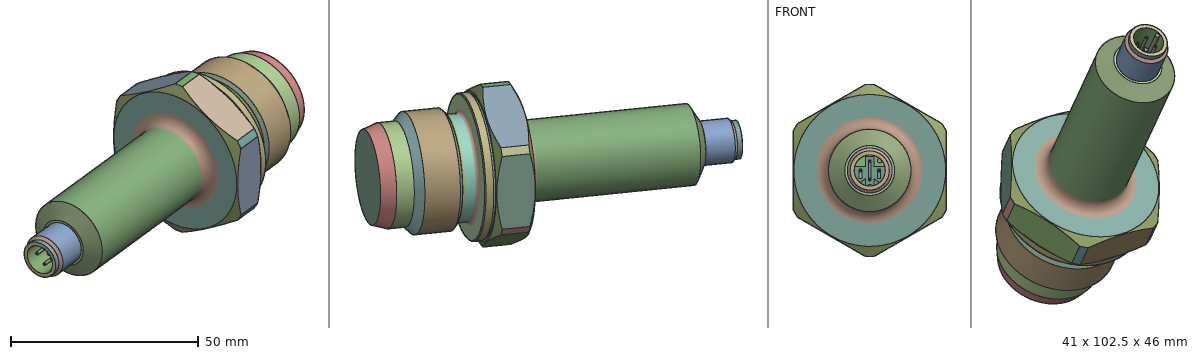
import cadquery as cq
import math

LENGTH = 102.5

TIP_DIAMETER = 10.5
TIP_END_Y = 1.4
CONNECTOR_DIAMETER = 12.0
CONNECTOR_CHAMFER_END_Y = 2.3

SLEEVE_START_Y = 10.6
SLEEVE_START_DIAMETER = 13.3
SLEEVE_CONE_END_Y = 13.2
SLEEVE_DIAMETER = 22.0
SLEEVE_FILLET = 3.1

HEX_START_Y = 61.6
HEX_END_Y = 72.5
HEX_ACROSS_FLATS = 41.0
HEX_CORNER_DIAMETER = 46.0
HEX_FACE_DIAMETER = 40.6
HEX_CHAMFER_ANGLE = 30.0

COLLAR_TAPER_END_Y = 73.1
COLLAR_END_Y = 75.5
COLLAR_DIAMETER = 40.0
COLLAR_CHAMFER = 0.3
COLLAR_TAPERED_DIAMETER = 39.4

NECK_DIAMETER = 29.2
NECK_FILLET = 1.0
THREAD_START_Y = 81.4
THREAD_DIAMETER = 33.2
THREAD_CHAMFER = 0.9
THREAD_CHAMFER_END_Y = 91.2
NOSE_DIAMETER = 28.6
NOSE_START_Y = THREAD_CHAMFER_END_Y + (THREAD_DIAMETER - NOSE_DIAMETER) / 2
NOSE_CONE_START_Y = 98.4
NOSE_END_DIAMETER = 25.8

BORE_DIAMETER = 8.3
FLOOR_Y = 9.2
PAD_HEIGHT = 1.0
CHANNEL_WIDTH = 2.3
UPPER_PAD_Z = 1.0
LOWER_PAD_Z = -2.3
LOWER_PAD_CORNER = (2.7, -3.3)
STOP_Z = 3.7
LOWER_STOP_WIDTH = 0.6
KEY_DIAMETER = 1.2
KEY_START_Y = 0.5
KEY_OFFSET = 2.7
PIN_DIAMETER = 0.8
PIN_TIP_DIAMETER = 0.4
PIN_TIP_LENGTH = 0.2
PIN_TIP_Y = 1.8
PIN_OFFSET = 2.5
LEAD_HEIGHT = 0.5
SIDE_LEAD_END_Z = -2.2


def cylinder(diameter, start_y, end_y, x=0.0, z=0.0):
    """Cylinder along +Y, centred on (x, z)."""
    return cq.Workplane("XZ", origin=(x, start_y, z)).circle(diameter / 2).extrude(start_y - end_y)


def box(x_range, y_range, z_range):
    """Box spanning the given ranges."""
    size = [high - low for low, high in (x_range, y_range, z_range)]
    corner = (x_range[0], y_range[0], z_range[0])
    return cq.Workplane("XY").box(*size, centered=False).translate(corner)


def turn(profile):
    """Turn a half profile of radius and Y around the Y axis."""
    return profile.close().revolve(360, (0, 0, 0), (0, 1, 0))


def turned_body():
    tip = TIP_DIAMETER / 2
    connector = CONNECTOR_DIAMETER / 2
    sleeve = SLEEVE_DIAMETER / 2
    collar = COLLAR_DIAMETER / 2
    tapered_collar = COLLAR_TAPERED_DIAMETER / 2
    neck = NECK_DIAMETER / 2
    thread = THREAD_DIAMETER / 2
    nose = NOSE_DIAMETER / 2
    neck_end_y = THREAD_START_Y - THREAD_CHAMFER
    return turn(
        cq.Workplane("XY")
        .lineTo(tip, 0)
        .lineTo(tip, TIP_END_Y)
        .lineTo(connector, CONNECTOR_CHAMFER_END_Y)
        .lineTo(connector, SLEEVE_START_Y)
        .lineTo(SLEEVE_START_DIAMETER / 2, SLEEVE_START_Y)
        .lineTo(sleeve, SLEEVE_CONE_END_Y)
        .lineTo(sleeve, HEX_START_Y - SLEEVE_FILLET)
        .radiusArc((sleeve + SLEEVE_FILLET, HEX_START_Y), SLEEVE_FILLET)
        .lineTo(tapered_collar, HEX_START_Y)
        .lineTo(tapered_collar, HEX_END_Y)
        .lineTo(collar, COLLAR_TAPER_END_Y)
        .lineTo(collar, COLLAR_END_Y - COLLAR_CHAMFER)
        .lineTo(collar - COLLAR_CHAMFER, COLLAR_END_Y)
        .lineTo(neck + NECK_FILLET, COLLAR_END_Y)
        .radiusArc((neck, COLLAR_END_Y + NECK_FILLET), NECK_FILLET)
        .lineTo(neck, neck_end_y - NECK_FILLET)
        .radiusArc((neck + NECK_FILLET, neck_end_y), NECK_FILLET)
        .lineTo(thread - THREAD_CHAMFER, neck_end_y)
        .lineTo(thread, THREAD_START_Y)
        .lineTo(thread, THREAD_CHAMFER_END_Y)
        .lineTo(nose, NOSE_START_Y)
        .lineTo(nose, NOSE_CONE_START_Y)
        .lineTo(NOSE_END_DIAMETER / 2, LENGTH)
        .lineTo(0, LENGTH)
    )


def hexagon():
    """Hexagon with flats facing +X and -X, its corners turned off and both faces chamfered at 30 degrees."""
    corner = HEX_CORNER_DIAMETER / 2
    face = HEX_FACE_DIAMETER / 2
    chamfer = (corner - face) * math.tan(math.radians(HEX_CHAMFER_ANGLE))
    prism = (
        cq.Workplane("XZ", origin=(0, HEX_START_Y, 0))
        .polygon(6, HEX_ACROSS_FLATS, circumscribed=True)
        .extrude(HEX_START_Y - HEX_END_Y)
    )
    envelope = turn(
        cq.Workplane("XY")
        .moveTo(0, HEX_START_Y)
        .lineTo(face, HEX_START_Y)
        .lineTo(corner, HEX_START_Y + chamfer)
        .lineTo(corner, HEX_END_Y - chamfer)
        .lineTo(face, HEX_END_Y)
        .lineTo(0, HEX_END_Y)
    )
    return prism.intersect(envelope)


def floor_pads():
    """Four pads on the socket floor around a cross-shaped channel, and a stop at its top and bottom."""
    edge = CHANNEL_WIDTH / 2
    reach = BORE_DIAMETER
    pads = cq.Workplane("XY")
    for side in (-1, 1):
        upper = [(edge, UPPER_PAD_Z), (reach, UPPER_PAD_Z), (reach, reach), (edge, reach)]
        lower = [(edge, LOWER_PAD_Z), LOWER_PAD_CORNER, (edge, -reach)]
        for outline in (upper, lower):
            points = [(side * x, z) for x, z in outline]
            pad = cq.Workplane("XZ", origin=(0, FLOOR_Y, 0)).polyline(points).close().extrude(PAD_HEIGHT)
            pads = pads.add(pad)
    depth = (FLOOR_Y - PAD_HEIGHT, FLOOR_Y)
    stop_edge = LOWER_STOP_WIDTH / 2
    pads = pads.combine()
    pads = pads.union(box((-edge, edge), depth, (STOP_Z, reach)))
    pads = pads.union(box((-stop_edge, stop_edge), depth, (-reach, -STOP_Z)))
    return pads.intersect(cylinder(BORE_DIAMETER, FLOOR_Y - PAD_HEIGHT, FLOOR_Y))


def pin(x, z):
    """Contact pin with a tapered tip, standing on the socket floor."""
    taper = (PIN_DIAMETER - PIN_TIP_DIAMETER) / 2
    return cylinder(PIN_DIAMETER, PIN_TIP_Y, FLOOR_Y, x, z).faces("<Y").chamfer(PIN_TIP_LENGTH, taper)


def lead(x, low_z, high_z):
    """Flat lead on the socket floor, running down from a pin."""
    half = PIN_DIAMETER / 2
    return box((x - half, x + half), (FLOOR_Y - LEAD_HEIGHT, FLOOR_Y), (low_z, high_z))


result = turned_body().union(hexagon())
result = result.cut(cylinder(BORE_DIAMETER, 0, FLOOR_Y))
result = result.union(floor_pads())

key = cylinder(KEY_DIAMETER, KEY_START_Y, FLOOR_Y, KEY_OFFSET, KEY_OFFSET)
result = result.union(key)

for pin_x, pin_z in ((0, PIN_OFFSET), (0, -PIN_OFFSET), (PIN_OFFSET, 0), (-PIN_OFFSET, 0)):
    result = result.union(pin(pin_x, pin_z))

result = result.union(lead(0, -PIN_OFFSET, PIN_OFFSET))
for lead_x in (-PIN_OFFSET, PIN_OFFSET):
    result = result.union(lead(lead_x, SIDE_LEAD_END_Z, 0))